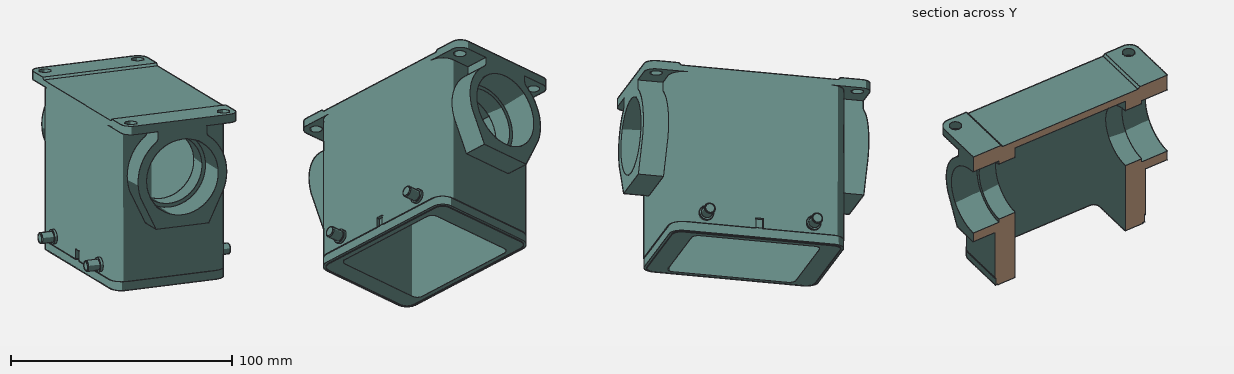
import cadquery as cq
import math

length = 105.5
height = 81.0
width = 56.5
body_length = 82.0
body_corner = 7.2

flange_thickness = 4.0
flange_corner = 5.0
flange_z = height - flange_thickness
flange_hole_diameter = 5.6
flange_hole_x = 47.1
flange_hole_y = 23.0
relief_depth = 1.1
relief_floor_length = 73.4

lip_height = 0.4
lip_inset = 1.6
skirt_top = 4.6
skirt_inset = 0.37
skirt_corner = 5.7

entry_z = 54.3
entry_radius = 22.0
entry_neck_half = 12.1
entry_neck_fillet = 2.5
entry_facet_top = 46.7
entry_base_z = 31.2
entry_base_half = 13.1
recess_diameter = 35.6
recess_depth = 13.9
bore_diameter = 32.0

end_wall = 11.1
side_wall = 4.2
roof = 4.2
cavity_corner = 3.2

pin_span = 71.1
pin_x = 25.1
pin_z = 9.4
pin_diameter = 5.1
pin_chamfer = 0.4
pin_collar_diameter = 6.6
pin_collar_span = 59.1

notch_width = 3.5
notch_height = 4.9
notch_sill = 0.3
notch_depth = 1.6


def rounded_block(size_x, size_y, corner, bottom, top):
    """Upright block centred on Z with rounded vertical edges."""
    block = cq.Workplane("XY").workplane(offset=bottom).rect(size_x, size_y).extrude(top - bottom)
    return block.edges("|Z").fillet(corner)


def make_shell():
    """Body, flange, skirt and lip stacked along Z."""
    body = rounded_block(body_length, width, body_corner, skirt_top, flange_z)
    flange = rounded_block(length, width, flange_corner, flange_z, height)
    skirt = rounded_block(
        body_length - 2 * skirt_inset, width - 2 * skirt_inset, skirt_corner, lip_height, skirt_top
    )
    lip_corner = skirt_corner - (lip_inset - skirt_inset)
    lip = rounded_block(body_length - 2 * lip_inset, width - 2 * lip_inset, lip_corner, 0, lip_height)
    return body.union(flange).union(skirt).union(lip)


def make_flange_relief():
    """Shallow channel with 45 degree flanks across the flange top."""
    half_floor = relief_floor_length / 2
    half_top = half_floor + relief_depth
    floor_z = height - relief_depth
    outline = [(-half_top, height), (-half_floor, floor_z), (half_floor, floor_z), (half_top, height)]
    return cq.Workplane("XZ").polyline(outline).close().extrude(width / 2, both=True)


def make_flange_holes():
    corners = [(x, y) for x in (-flange_hole_x, flange_hole_x) for y in (-flange_hole_y, flange_hole_y)]
    return (
        cq.Workplane("XY").workplane(offset=flange_z)
        .pushPoints(corners).circle(flange_hole_diameter / 2).extrude(flange_thickness)
    )


def make_entries():
    """Round bosses at both ends, necked up to the flange and faceted down to a flat base."""
    fillet_y = entry_neck_half + entry_neck_fillet
    fillet_distance = entry_radius + entry_neck_fillet
    fillet_z = entry_z + math.sqrt(fillet_distance**2 - fillet_y**2)
    touch_y = fillet_y * entry_radius / fillet_distance
    touch_z = entry_z + (fillet_z - entry_z) * entry_radius / fillet_distance
    facet_y = math.sqrt(entry_radius**2 - (entry_z - entry_facet_top)**2)
    return (
        cq.Workplane("YZ")
        .moveTo(-entry_base_half, entry_base_z)
        .lineTo(entry_base_half, entry_base_z)
        .lineTo(facet_y, entry_facet_top)
        .threePointArc((entry_radius, entry_z), (touch_y, touch_z))
        .radiusArc((entry_neck_half, fillet_z), entry_neck_fillet)
        .lineTo(entry_neck_half, flange_z)
        .lineTo(-entry_neck_half, flange_z)
        .lineTo(-entry_neck_half, fillet_z)
        .radiusArc((-touch_y, touch_z), entry_neck_fillet)
        .threePointArc((-entry_radius, entry_z), (-facet_y, entry_facet_top))
        .close()
        .extrude(length / 2, both=True)
    )


def make_entry_bores():
    """Through bore along X with a wider recess at each end."""
    bores = cq.Workplane("YZ").center(0, entry_z).circle(bore_diameter / 2).extrude(length / 2, both=True)
    for start in (-length / 2, length / 2 - recess_depth):
        recess = (
            cq.Workplane("YZ").workplane(offset=start).center(0, entry_z)
            .circle(recess_diameter / 2).extrude(recess_depth)
        )
        bores = bores.union(recess)
    return bores


def make_cavity():
    """Chamber open at the bottom."""
    return rounded_block(
        body_length - 2 * end_wall, width - 2 * side_wall, cavity_corner, 0, height - relief_depth - roof
    )


def make_pins():
    """Collared pins pointing outwards from both long sides."""
    root_y = width / 2 - side_wall / 2
    pins = cq.Workplane("XY")
    for x in (-pin_x, pin_x):
        for side in (-1, 1):
            base = cq.Workplane("XZ", origin=(x, side * root_y, pin_z))
            collar = base.circle(pin_collar_diameter / 2).extrude(-side * (pin_collar_span / 2 - root_y))
            pin = base.circle(pin_diameter / 2).extrude(-side * (pin_span / 2 - root_y))
            tip = ">Y" if side > 0 else "<Y"
            pins = pins.add(collar.union(pin.faces(tip).chamfer(pin_chamfer)))
    return pins.combine()


def make_notches():
    """Notches whose floor is a low sill flush with the skirt face."""
    notches = cq.Workplane("XY")
    for side in (-1, 1):
        for depth, sill in ((skirt_inset, 0), (notch_depth, notch_sill)):
            notch_size = notch_height - sill
            notch = cq.Workplane("XY").box(notch_width, depth, notch_size)
            centre = (0, side * (width - depth) / 2, skirt_top + sill + notch_size / 2)
            notches = notches.add(notch.translate(centre))
    return notches.combine()


result = (
    make_shell()
    .union(make_entries())
    .cut(make_flange_relief())
    .cut(make_cavity())
    .cut(make_entry_bores())
    .cut(make_flange_holes())
    .cut(make_notches())
    .union(make_pins())
)